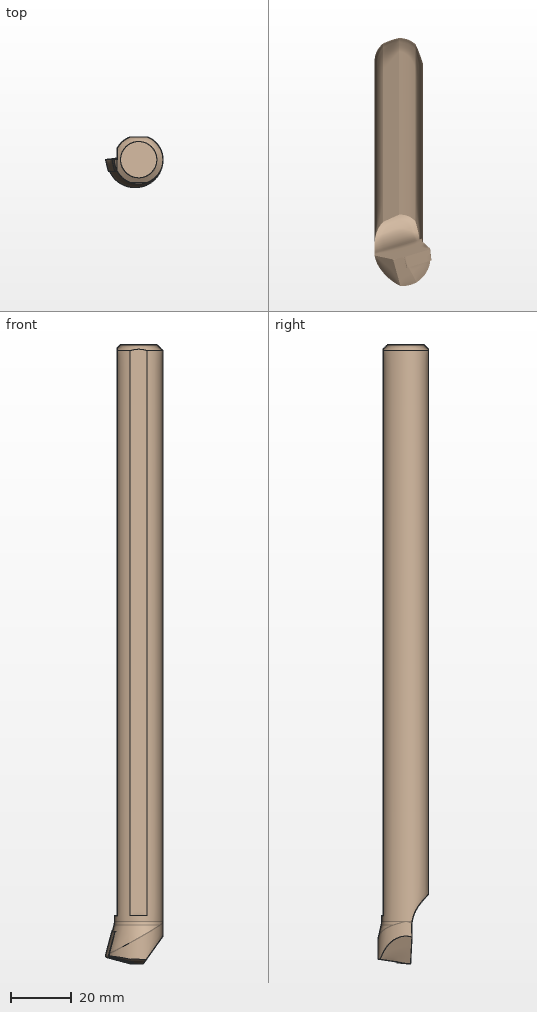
import cadquery as cq
import math


TOTAL_LENGTH = 203.5
SHANK_RADIUS = 8.0
TOP_CHAMFER = 2.0
SIDE_FLAT_DISTANCE = 7.1
FACE_FLAT_DISTANCE = 7.49
FLAT_END_Z = 15.9

FLARE_Z = 13.5
FLARE_BLEND = 0.6
FLARE_ANGLE = 13.0
HEAD_RADIUS = 9.2
HEAD_CENTER_X = SHANK_RADIUS - HEAD_RADIUS

NOSE_Z = 0.2
BOTTOM_RELIEF_ANGLE = 8.5
END_FACE_OFFSET = 0.2
HEEL_BOTTOM_X = 1.6
HEEL_TOP_Z = 9.2

INSERT_SIDE = 9.52
INSERT_THICKNESS = 3.97
INSERT_NOSE_RADIUS = 0.8
INSERT_RELIEF_ANGLE = 7.0
LEAD_ANGLE = 15.0
RAKE_ANGLE = 7.0
TIP_X = -10.93
INSERT_CENTER_Y = 0.6

SCOOP_START = 9.4
SCOOP_RADIUS = 10.2

CUT_SIZE = 61.0

lead = math.radians(LEAD_ANGLE)
rake = math.radians(RAKE_ANGLE)
half_side = INSERT_SIDE / 2
core = half_side - INSERT_NOSE_RADIUS
reach_out = core * (math.cos(rake) * math.cos(lead) + math.sin(lead)) + INSERT_NOSE_RADIUS
reach_down = core * (math.cos(lead) + math.cos(rake) * math.sin(lead)) + INSERT_NOSE_RADIUS

up_edge = cq.Vector(math.sin(lead), 0, math.cos(lead))
end_edge = cq.Vector(
    math.cos(rake) * math.cos(lead), math.sin(rake), -math.cos(rake) * math.sin(lead)
)
insert_center = cq.Vector(TIP_X + reach_out, INSERT_CENTER_Y, reach_down)
rake_plane = cq.Plane(origin=insert_center, xDir=up_edge, normal=up_edge.cross(end_edge))


def make_insert():
    """Square insert with rounded corners, tapering away from its rake face."""
    return (
        cq.Workplane(rake_plane)
        .sketch().rect(INSERT_SIDE, INSERT_SIDE).vertices().fillet(INSERT_NOSE_RADIUS).finalize()
        .extrude(-INSERT_THICKNESS, taper=INSERT_RELIEF_ANGLE)
    )


def make_turned_body():
    """Chamfered shank running through a blend arc into the flared head."""
    flare = math.radians(FLARE_ANGLE)
    blend_radius = FLARE_BLEND / math.tan(flare / 2)
    blend_top = FLARE_Z + FLARE_BLEND

    def blend_point(angle):
        return (
            SHANK_RADIUS + blend_radius * (1 - math.cos(angle)),
            blend_top - blend_radius * math.sin(angle),
        )

    turned = (
        cq.Workplane("XZ")
        .lineTo(SHANK_RADIUS + FLARE_Z * math.tan(flare), 0)
        .lineTo(*blend_point(flare))
        .threePointArc(blend_point(flare / 2), (SHANK_RADIUS, blend_top))
        .lineTo(SHANK_RADIUS, TOTAL_LENGTH - TOP_CHAMFER)
        .lineTo(SHANK_RADIUS - TOP_CHAMFER, TOTAL_LENGTH)
        .lineTo(0, TOTAL_LENGTH)
        .close()
        .revolve(360, (0, 0, 0), (0, 1, 0))
    )
    head_limit = cq.Workplane("XY").center(HEAD_CENTER_X, 0).circle(HEAD_RADIUS).extrude(blend_top)
    shank_limit = (
        cq.Workplane("XY").workplane(offset=blend_top)
        .circle(CUT_SIZE).extrude(TOTAL_LENGTH - blend_top)
    )
    return turned.intersect(head_limit.union(shank_limit))


def flat_cutter(angle, distance):
    """Block that leaves a flat at the given distance, facing the given angle about Z."""
    return (
        cq.Workplane("XY")
        .box(CUT_SIZE, CUT_SIZE, TOTAL_LENGTH, centered=(False, True, False))
        .translate((distance, 0, FLAT_END_Z))
        .rotate((0, 0, 0), (0, 0, 1), angle)
    )


def scoop_cutter():
    """Chip space: extension of the rake plane with an arc running out to the bar's back."""
    arc_mid = math.radians(45)
    return (
        cq.Workplane(cq.Plane(origin=insert_center, xDir=up_edge, normal=-end_edge))
        .moveTo(-CUT_SIZE, 0)
        .lineTo(SCOOP_START, 0)
        .threePointArc(
            (SCOOP_START + SCOOP_RADIUS * math.sin(arc_mid), SCOOP_RADIUS * (1 - math.cos(arc_mid))),
            (SCOOP_START + SCOOP_RADIUS, SCOOP_RADIUS),
        )
        .lineTo(SCOOP_START + SCOOP_RADIUS, CUT_SIZE)
        .lineTo(-CUT_SIZE, CUT_SIZE)
        .close()
        .extrude(CUT_SIZE, both=True)
    )


def pocket_opening_cutter():
    """Block that opens the insert pocket outward, down to the level of the insert's seat."""
    return (
        cq.Workplane(rake_plane)
        .moveTo(core, -core)
        .lineTo(core, -CUT_SIZE)
        .lineTo(-CUT_SIZE, -CUT_SIZE)
        .lineTo(-CUT_SIZE, -core)
        .close()
        .extrude(-INSERT_THICKNESS)
    )


def bottom_cutter():
    """Block below the head, its top face rising toward -Y."""
    return (
        cq.Workplane("XY")
        .box(CUT_SIZE, CUT_SIZE, CUT_SIZE, centered=(True, True, False))
        .translate((0, 0, -CUT_SIZE))
        .rotate((0, 0, 0), (1, 0, 0), -BOTTOM_RELIEF_ANGLE)
        .translate((0, 0, NOSE_Z))
    )


def end_face_cutter():
    """Block below the insert's end edge, relieved like the insert's flank."""
    edge_point = insert_center - up_edge * (half_side - END_FACE_OFFSET)
    return (
        cq.Workplane("XY")
        .box(CUT_SIZE, CUT_SIZE, CUT_SIZE, centered=(True, True, False))
        .translate((0, 0, -CUT_SIZE))
        .rotate((0, 0, 0), (1, 0, 0), -INSERT_RELIEF_ANGLE)
        .rotate((0, 0, 0), (0, 0, 1), RAKE_ANGLE)
        .rotate((0, 0, 0), (0, 1, 0), LEAD_ANGLE)
        .translate(edge_point)
    )


def heel_cutter():
    """Wedge that slopes the heel of the head on +X."""
    slope = (HEEL_TOP_Z - NOSE_Z) / (SHANK_RADIUS - HEEL_BOTTOM_X)
    return (
        cq.Workplane("XZ")
        .moveTo(HEEL_BOTTOM_X - NOSE_Z / slope, 0)
        .lineTo(CUT_SIZE, 0)
        .lineTo(CUT_SIZE, HEEL_TOP_Z + slope * (CUT_SIZE - SHANK_RADIUS))
        .close()
        .extrude(CUT_SIZE, both=True)
    )


def make_holder(insert):
    """Bar with its flats, chip scoop, clearance faces and insert pocket."""
    holder = make_turned_body()
    for angle, distance in (
        (90, FACE_FLAT_DISTANCE), (180, SIDE_FLAT_DISTANCE), (270, FACE_FLAT_DISTANCE)
    ):
        holder = holder.cut(flat_cutter(angle, distance))
    for cutter in (
        scoop_cutter(),
        pocket_opening_cutter(),
        bottom_cutter(),
        end_face_cutter(),
        heel_cutter(),
    ):
        holder = holder.cut(cutter)
    return holder.cut(insert).solids()


insert = make_insert()
holder = make_holder(insert)
result = cq.Compound.makeCompound([holder.val(), insert.val()])